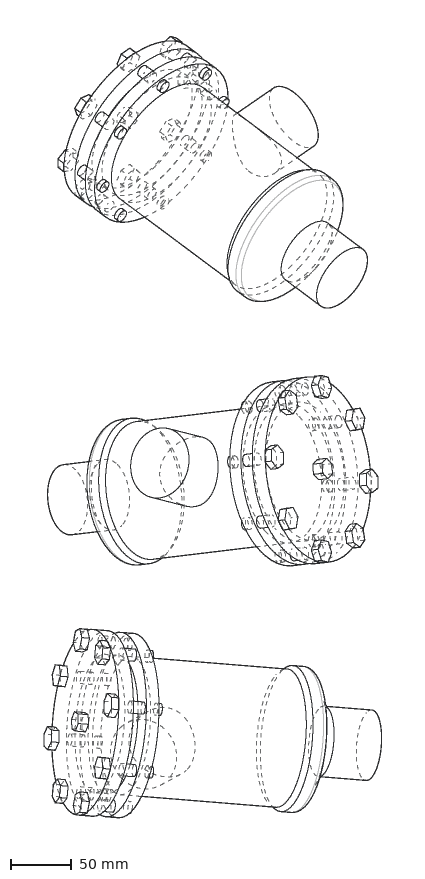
import cadquery as cq
import math

length = 258.5

bolt_head_face_x = 2.3
cover_face_x = 9.0
cover_back_x = 22.0
flange_face_x = 33.5
flange_back_x = 44.7
bolt_end_x = 48.5
collar_start_x = 181.5
collar_crest_start_x = 186.0
collar_crest_end_x = 195.5
collar_end_x = 199.3
outlet_start_x = 216.5

cover_diameter = 153.0
flange_diameter = 152.0
body_diameter = 114.0
collar_diameter = 120.5
collar_end_diameter = 115.8
pipe_diameter = 58.2

collar_round_rise = 0.65

neck_sag = 2.3

branch_x = 98.5
branch_end_y = 99.0

bolt_count = 8
bolt_circle_diameter = 137.0
bolt_diameter = 10.0
bolt_head_flats = 17.0
plug_head_flats = 14.5
plug_turn = 6.5


def x_cylinder(diameter, start_x, end_x):
    """Solid cylinder on the X axis."""
    return cq.Workplane("YZ", origin=(start_x, 0, 0)).circle(diameter / 2).extrude(end_x - start_x)


def hex_head(flats, start_x, end_x):
    """Hexagonal prism on the X axis with two corners on the Y axis."""
    corner_diameter = flats / math.cos(math.pi / 6)
    sketch = cq.Workplane("YZ", origin=(start_x, 0, 0)).polygon(6, corner_diameter)
    return sketch.extrude(end_x - start_x)


def turn_about_x(shape, degrees):
    return shape.rotate((0, 0, 0), (1, 0, 0), degrees)


def bulge_point(start, end, sag):
    """Point offset by sag from the middle of a chord, to the left of its direction."""
    run = end[0] - start[0]
    rise = end[1] - start[1]
    chord = math.hypot(run, rise)
    middle_x = (start[0] + end[0]) / 2
    middle_r = (start[1] + end[1]) / 2
    return (middle_x - rise / chord * sag, middle_r + run / chord * sag)


def make_vessel():
    """Body, raised collar, hollow-curved neck and outlet pipe as one revolved solid."""
    body_radius = body_diameter / 2
    crest_radius = collar_diameter / 2
    pipe_radius = pipe_diameter / 2

    crest_end = (collar_crest_end_x, crest_radius)
    neck_start = (collar_end_x, collar_end_diameter / 2)
    neck_end = (outlet_start_x, pipe_radius)

    return (
        cq.Workplane("XY")
        .moveTo(cover_back_x, 0)
        .lineTo(cover_back_x, body_radius)
        .lineTo(collar_start_x, body_radius)
        .lineTo(collar_crest_start_x, crest_radius)
        .lineTo(*crest_end)
        .threePointArc(bulge_point(crest_end, neck_start, collar_round_rise), neck_start)
        .threePointArc(bulge_point(neck_start, neck_end, -neck_sag), neck_end)
        .lineTo(length, pipe_radius)
        .lineTo(length, 0)
        .close()
        .revolve(360, (0, 0, 0), (1, 0, 0))
    )


def make_branch():
    """Side pipe from the vessel axis out to +Y."""
    sketch = cq.Workplane("XZ", origin=(branch_x, 0, 0)).circle(pipe_diameter / 2)
    return sketch.extrude(-branch_end_y)


def make_bolt():
    """Bolt at the top of the bolt circle, with a head flat facing outwards."""
    head = hex_head(bolt_head_flats, bolt_head_face_x, cover_face_x)
    shank = x_cylinder(bolt_diameter, cover_face_x, bolt_end_x)
    return head.union(shank).translate((0, 0, bolt_circle_diameter / 2))


def make_plug():
    """Hexagonal head in the middle of the cover."""
    return turn_about_x(hex_head(plug_head_flats, 0, cover_face_x), 90 - plug_turn)


cover = x_cylinder(cover_diameter, cover_face_x, cover_back_x)
flange = x_cylinder(flange_diameter, flange_face_x, flange_back_x)

result = make_vessel().union(make_branch()).union(cover).union(flange).union(make_plug())
for index in range(bolt_count):
    result = result.union(turn_about_x(make_bolt(), index * 360 / bolt_count))